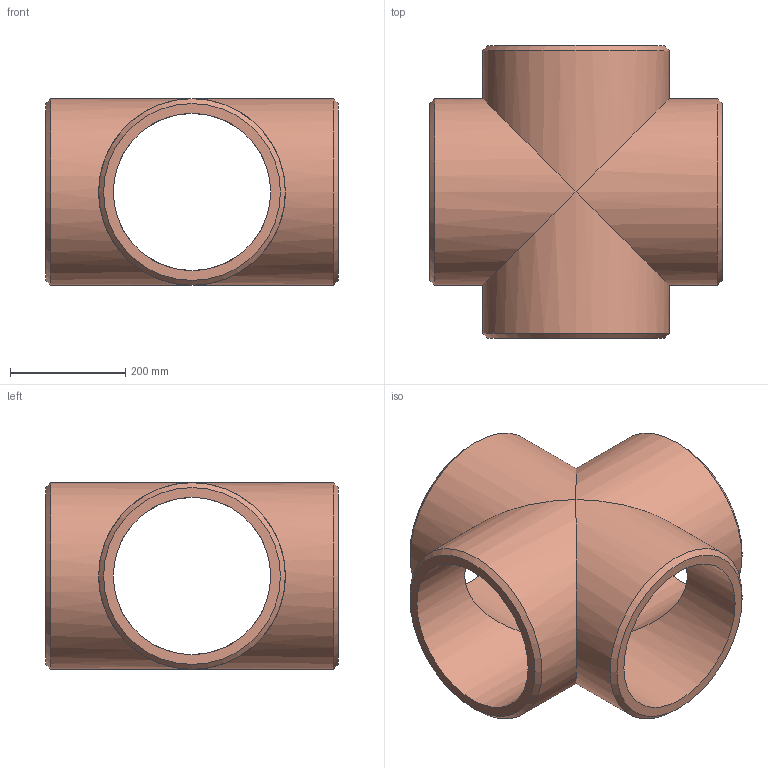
import cadquery as cq

end_to_end = 508.0
outer_diameter = 323.9
wall_thickness = 25.4
bevel = 8.5

outer_radius = outer_diameter / 2
bore_radius = outer_radius - wall_thickness


def run_along(plane_name, radius):
    """Solid cylinder of full run length, centred on the origin."""
    return cq.Workplane(plane_name).circle(radius).extrude(end_to_end / 2, both=True)


def bevelled_run(plane_name):
    """Outer body of one run with its outside edges bevelled at both ends."""
    body = run_along(plane_name, outer_radius)
    return body.faces("%Plane").edges().chamfer(bevel)


result = bevelled_run("YZ").union(bevelled_run("XZ"))

for plane_name in ("YZ", "XZ"):
    result = result.cut(run_along(plane_name, bore_radius))